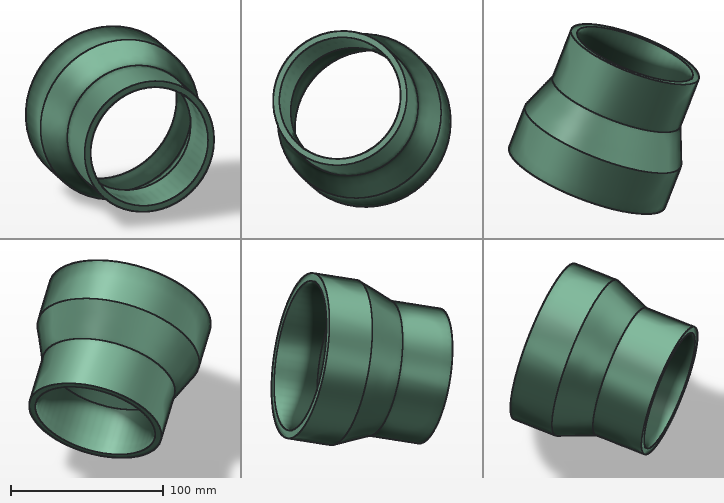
import cadquery as cq

overall_length = 90.0
wide_length = 30.0
cone_length = 25.0
cone_end = wide_length + cone_length

wide_outer_diameter = 110.0
wide_bore_diameter = 99.4
narrow_outer_diameter = 90.0
narrow_bore_diameter = 81.4


def reducer_solid(wide_diameter, narrow_diameter):
    """Solid of revolution: wide cylinder, cone, narrow cylinder."""
    wide_radius = wide_diameter / 2
    narrow_radius = narrow_diameter / 2
    return (
        cq.Workplane("XY")
        .moveTo(0, 0)
        .lineTo(0, wide_radius)
        .lineTo(wide_length, wide_radius)
        .lineTo(cone_end, narrow_radius)
        .lineTo(overall_length, narrow_radius)
        .lineTo(overall_length, 0)
        .close()
        .revolve(360, (0, 0, 0), (1, 0, 0))
    )


outer_body = reducer_solid(wide_outer_diameter, narrow_outer_diameter)
bore = reducer_solid(wide_bore_diameter, narrow_bore_diameter)

result = outer_body.cut(bore)